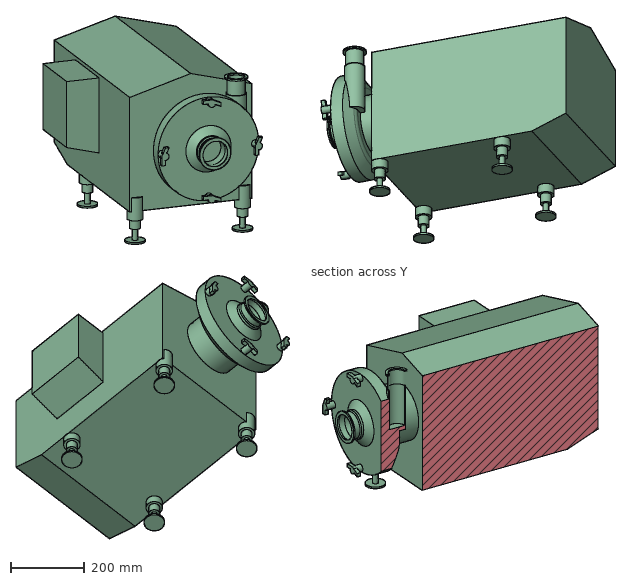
import cadquery as cq


hood_length = 571.5
hood_half_width = 178.0
hood_bottom = 90.0
eave_height = 417.0
ridge_height = 465.5
end_bevel_length = 100.0
end_bevel_height = 36.0

box_start = 161.0
box_length = 180.0
box_depth = 95.0
box_top = 406.0
box_bottom_at_hood = 192.5
box_bottom_outside = 218.0

feet_x = (196.0, 556.0)
foot_spacing_y = 314.0
foot_collar_top = 130.0
foot_steps = (
    (56.0, 5.0),
    (16.0, 39.0),
    (30.0, 65.0),
    (45.0, hood_bottom),
)

pump_axis_z = 289.5
drum_diameter = 166.0
casing_back = 644.0
casing_shoulder = 670.0
casing_front = 706.0
casing_diameter = 294.0
casing_back_diameter = 221.0
casing_back_fillet = 25.0

inlet_end = 758.0
inlet_cone_diameter = 132.0
inlet_hub_diameter = 84.0
inlet_pipe_diameter = 76.5
inlet_flange_diameter = 91.0
inlet_bore = 72.0
inlet_hub_start = 723.0
inlet_hub_end = 730.0
inlet_pipe_start = 733.0
inlet_neck_length = 2.0
inlet_neck_diameter = 81.0

outlet_x = 653.5
outlet_y = 101.0
outlet_top = 470.0
outlet_sleeve_top = 422.0
outlet_sleeve_diameter = 56.0
outlet_pipe_diameter = 51.0
outlet_flange_diameter = 64.0
outlet_bore = 48.0
outlet_bore_floor = 303.0

flange_thickness = 4.5

stud_circle_radius = 136.5
stud_diameter = 21.0
stud_end = 734.0
nut_thickness = 11.0
wing_reach = 25.0
wing_thickness = 10.5


def cylinder_up(x, y, bottom, top, diameter):
    """Vertical cylinder between two heights."""
    return (
        cq.Workplane("XY", origin=(x, y, bottom))
        .circle(diameter / 2)
        .extrude(top - bottom)
    )


def cylinder_along(start, end, diameter, y=0, z=pump_axis_z):
    """Cylinder parallel to X between two positions."""
    return (
        cq.Workplane("YZ", origin=(start, y, z))
        .circle(diameter / 2)
        .extrude(end - start)
    )


def make_hood():
    gable = [
        (-hood_half_width, hood_bottom),
        (hood_half_width, hood_bottom),
        (hood_half_width, eave_height),
        (0, ridge_height),
        (-hood_half_width, eave_height),
    ]
    hood = cq.Workplane("YZ").polyline(gable).close().extrude(hood_length)
    end_bevel = (
        cq.Workplane("XZ")
        .polyline([
            (0, hood_bottom),
            (end_bevel_length, hood_bottom),
            (0, hood_bottom + end_bevel_height),
        ])
        .close()
        .extrude(hood_half_width, both=True)
    )
    return hood.cut(end_bevel)


def make_control_box():
    outside = -hood_half_width - box_depth
    return (
        cq.Workplane("YZ", origin=(box_start, 0, 0))
        .polyline([
            (-hood_half_width, box_bottom_at_hood),
            (outside, box_bottom_outside),
            (outside, box_top),
            (-hood_half_width, box_top),
        ])
        .close()
        .extrude(box_length)
    )


def make_foot(x, y):
    foot = cq.Workplane("XY")
    bottom = 0
    for diameter, top in foot_steps:
        foot = foot.union(cylinder_up(x, y, bottom, top, diameter))
        bottom = top
    collar_diameter = foot_steps[-1][0]
    between_sides = cq.Workplane("XY", origin=(x, 0, foot_collar_top / 2)).box(
        collar_diameter, 2 * hood_half_width, foot_collar_top
    )
    collar = cylinder_up(x, y, hood_bottom, foot_collar_top, collar_diameter)
    return foot.union(collar.intersect(between_sides))


def make_casing():
    drum = cylinder_along(hood_length, casing_back, drum_diameter)
    casing = (
        cq.Workplane("XY")
        .polyline([
            (casing_back, 0),
            (casing_back, casing_back_diameter / 2),
            (casing_shoulder, casing_diameter / 2),
            (casing_front, casing_diameter / 2),
            (casing_front, 0),
        ])
        .close()
        .revolve(360, (0, 0, 0), (1, 0, 0))
        .faces("<X")
        .edges()
        .fillet(casing_back_fillet)
        .translate((0, 0, pump_axis_z))
    )
    return drum.union(casing)


def make_inlet():
    flange_start = inlet_end - flange_thickness
    profile = [
        (casing_front, 0),
        (casing_front, inlet_cone_diameter / 2),
        (inlet_hub_start, inlet_hub_diameter / 2),
        (inlet_hub_end, inlet_hub_diameter / 2),
        (inlet_pipe_start, inlet_pipe_diameter / 2),
        (flange_start - inlet_neck_length, inlet_pipe_diameter / 2),
        (flange_start, inlet_neck_diameter / 2),
        (flange_start, inlet_flange_diameter / 2),
        (inlet_end, inlet_flange_diameter / 2),
        (inlet_end, 0),
    ]
    nozzle = (
        cq.Workplane("XY")
        .polyline(profile)
        .close()
        .revolve(360, (0, 0, 0), (1, 0, 0))
        .translate((0, 0, pump_axis_z))
    )
    return nozzle.cut(cylinder_along(casing_front, inlet_end, inlet_bore))


def make_outlet():
    flange_bottom = outlet_top - flange_thickness
    outlet_steps = (
        (pump_axis_z, outlet_sleeve_top, outlet_sleeve_diameter),
        (outlet_sleeve_top, flange_bottom, outlet_pipe_diameter),
        (flange_bottom, outlet_top, outlet_flange_diameter),
    )
    outlet = cq.Workplane("XY")
    for bottom, top, diameter in outlet_steps:
        outlet = outlet.union(cylinder_up(outlet_x, outlet_y, bottom, top, diameter))
    return outlet


def make_stud(y, z):
    """Stud on the casing front; its wing nut lies tangent to the casing rim."""
    stud = cylinder_along(casing_front, stud_end, stud_diameter, y, pump_axis_z + z)
    radius = stud_diameter / 2
    straight_wing = [
        (-radius, 0),
        (wing_thickness - radius, 0),
        (wing_thickness - radius, -wing_reach),
        (-radius, -wing_reach),
    ]
    leaning_wing = [
        (-radius, 0),
        (radius - wing_thickness, wing_reach),
        (radius, wing_reach),
        (wing_thickness - radius, 0),
    ]
    for wing in (straight_wing, leaning_wing):
        if z == 0:
            outline = wing
        else:
            outline = [(along, -across) for across, along in wing]
        stud = stud.union(
            cq.Workplane("YZ", origin=(stud_end - nut_thickness, y, pump_axis_z + z))
            .polyline(outline)
            .close()
            .extrude(nut_thickness)
        )
    return stud


result = make_hood().union(make_control_box())

for foot_x in feet_x:
    for side in (-1, 1):
        result = result.union(make_foot(foot_x, side * foot_spacing_y / 2))

result = result.union(make_casing()).union(make_inlet()).union(make_outlet())
outlet_hole = cylinder_up(outlet_x, outlet_y, outlet_bore_floor, outlet_top, outlet_bore)
result = result.cut(outlet_hole)

for side in (-1, 1):
    result = result.union(make_stud(side * stud_circle_radius, 0))
    result = result.union(make_stud(0, side * stud_circle_radius))